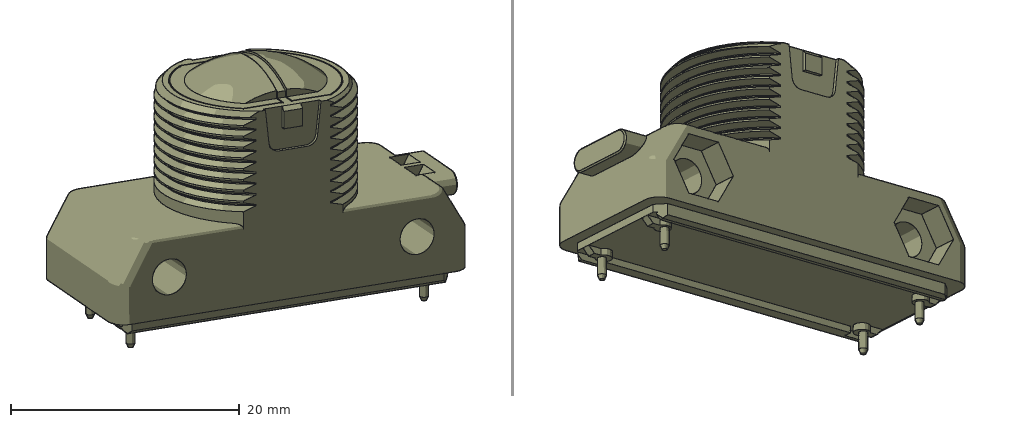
import cadquery as cq
import math

HOUSING_WIDTH = 15.0
HOUSING_LENGTH = 34.55
HOUSING_HEIGHT = 7.62
KNEE_HEIGHT = 3.85
TOP_LENGTH = 30.12
CORNER_RADIUS = 1.5
EDGE_RADIUS = 0.45
KNEE_RADIUS = 0.55

MOUNT_SPACING = 24.1
MOUNT_HEIGHT = 3.83
MOUNT_DIAMETER = 3.3
NUT_ACROSS_FLATS = 5.62
NUT_DEPTH = 2.5

BARREL_RADIUS = 8.92
BARREL_TOP = 17.85
BARREL_CHAMFER = 0.75
BARREL_ROOT = HOUSING_HEIGHT - EDGE_RADIUS
THREAD_PITCH = 1.0
THREAD_DEPTH = 0.6
THREAD_START = 8.25
CREST_WIDTH = 0.18
ROOT_WIDTH = 0.1
CUT_OVERRUN = 0.07

DOME_TOP = 19.95
DOME_BASE_RADIUS = 6.25
DOME_WIDTH = 10.3
DOME_FLAT_RADIUS = 0.88

BUTTON_RADIUS = 7.62
BUTTON_WIDTH = 12.65
BRIDGE_WIDTH = 0.77
BRIDGE_DROP = 0.15
GAP = 0.1
GAP_DEPTH = 0.7

WINDOW_TOP_WIDTH = 5.4
WINDOW_BOTTOM_WIDTH = 4.53
WINDOW_HEIGHT = 3.95
WINDOW_DEPTH = 0.35
WINDOW_RADIUS = 1.0
LATCH_WIDTH = 1.83
LATCH_HEIGHT = 2.0
LATCH_RAMP = 0.4

LUG_WIDTH = 7.55
LUG_HEIGHT = 2.25
LUG_END = 17.85
LUG_CHAMFER = 0.15
LUG_ROOT = 14.05
POCKET_WIDTH = 2.3
POCKET_SPACING = 2.95
POCKET_OUTER_END = 16.15
POCKET_INNER_END = 14.3
POCKET_DEPTH = 3.45

BASE_WIDTH = 12.85
BASE_LENGTH = 32.15
BASE_DEPTH = 1.37
PLATE_DEPTH = 0.75
BASE_CORNER = 0.9
RAIL_CHAMFER = 0.3
CHANNEL_WIDTH = 11.45
LEDGE_WIDTH = 0.8
LEDGE_LENGTH = 26.7

PIN_POSITIONS = [(-4.4, 13.97), (4.4, 14.22), (-4.2, -14.05), (4.2, -14.22)]
PIN_DIAMETER = 0.8
PIN_END = 3.37
PIN_TIP_LENGTH = 0.4
PIN_TIP_DIAMETER = 0.45

BOSS_SPACING_X = 8.55
BOSS_SPACING_Y = 28.23
BOSS_DIAMETER = 1.5
RIB_WIDTH = 0.85

JOIN = 0.35


def box(width, length, bottom, top):
    """Centred block between two heights."""
    return cq.Workplane("XY").workplane(offset=bottom).rect(width, length).extrude(top - bottom)


def both_sides(side):
    """Feature on the -X side together with its mirror image on the +X side."""
    return side.union(side.mirror("YZ"))


def make_housing():
    """Block with sloped end faces, rounded corners, and rounded top edges and knees."""
    half_length = HOUSING_LENGTH / 2
    half_top = TOP_LENGTH / 2
    outline = [
        (-half_length, 0),
        (half_length, 0),
        (half_length, KNEE_HEIGHT),
        (half_top, HOUSING_HEIGHT),
        (-half_top, HOUSING_HEIGHT),
        (-half_length, KNEE_HEIGHT),
    ]
    housing = cq.Workplane("YZ").polyline(outline).close().extrude(HOUSING_WIDTH / 2, both=True)
    knees = cq.selectors.BoxSelector(
        (-HOUSING_WIDTH, -HOUSING_LENGTH, KNEE_HEIGHT / 2),
        (HOUSING_WIDTH, HOUSING_LENGTH, (KNEE_HEIGHT + HOUSING_HEIGHT) / 2),
    )
    housing = housing.edges("|X").edges(knees).fillet(KNEE_RADIUS)
    housing = housing.faces("<X or >X").edges("not(<Z or >Z)").fillet(CORNER_RADIUS)
    return housing.edges(">Z").fillet(EDGE_RADIUS)


def cut_mounts(body):
    """Through holes along X with hexagonal nut pockets sunk from the -X side."""
    centres = [(-MOUNT_SPACING / 2, MOUNT_HEIGHT), (MOUNT_SPACING / 2, MOUNT_HEIGHT)]
    side = cq.Workplane("YZ", origin=(-HOUSING_WIDTH / 2, 0, 0)).pushPoints(centres)
    holes = side.circle(MOUNT_DIAMETER / 2).extrude(HOUSING_WIDTH)
    nuts = side.polygon(6, NUT_ACROSS_FLATS / math.cos(math.pi / 6)).extrude(NUT_DEPTH)
    return body.cut(holes).cut(nuts)


def half_turn_groove():
    """Half a turn of the V-shaped right-hand thread groove, starting on +X."""
    root_radius = BARREL_RADIUS - THREAD_DEPTH
    mouth_radius = BARREL_RADIUS + CUT_OVERRUN
    flank_slope = (THREAD_PITCH - CREST_WIDTH - ROOT_WIDTH) / 2 / THREAD_DEPTH
    half_root = ROOT_WIDTH / 2
    half_mouth = half_root + flank_slope * (THREAD_DEPTH + CUT_OVERRUN)
    profile = [
        (root_radius, -half_root),
        (mouth_radius, -half_mouth),
        (mouth_radius, half_mouth),
        (root_radius, half_root),
    ]
    path = cq.Wire.makeHelix(THREAD_PITCH, THREAD_PITCH / 2, root_radius)
    return cq.Workplane("XZ").polyline(profile).close().sweep(cq.Workplane(path), isFrenet=True)


def make_barrel():
    """Chamfered cylinder flattened to the housing width, threaded on its two round sides."""
    barrel = cq.Workplane("XY").workplane(offset=BARREL_ROOT).circle(BARREL_RADIUS)
    barrel = barrel.extrude(BARREL_TOP - BARREL_ROOT).faces(">Z").chamfer(BARREL_CHAMFER)
    barrel = barrel.intersect(box(HOUSING_WIDTH, HOUSING_LENGTH, BARREL_ROOT, BARREL_TOP))
    groove = half_turn_groove()
    half_turns = math.ceil((BARREL_TOP - THREAD_START) / (THREAD_PITCH / 2))
    for step in range(half_turns):
        turned = groove.rotate((0, 0, 0), (0, 0, 1), 180 * step)
        barrel = barrel.cut(turned.translate((0, 0, THREAD_START + step * THREAD_PITCH / 2)))
    return barrel


def dome_ball(drop):
    """Ball that forms the dome, shrunk concentrically by drop."""
    rise = DOME_TOP - BARREL_TOP
    centre_drop = (DOME_BASE_RADIUS**2 - DOME_FLAT_RADIUS**2 - rise**2) / (2 * rise)
    radius = math.hypot(DOME_BASE_RADIUS, centre_drop)
    return cq.Workplane("XY").sphere(radius - drop).translate((0, 0, BARREL_TOP - centre_drop))


def button_columns(width, radius, half_gap):
    """Pair of D-shaped columns either side of the bridge, through the button's height."""
    column = cq.Workplane("XY").workplane(offset=BARREL_TOP - GAP_DEPTH).circle(radius)
    column = column.extrude(DOME_TOP)
    column = column.intersect(box(width, 2 * radius, 0, 2 * DOME_TOP))
    return column.cut(box(2 * radius, 2 * half_gap, 0, 2 * DOME_TOP))


def make_dome():
    """Domed lens whose middle strip, the bridge, lies slightly lower than its two halves."""
    bounds = box(DOME_WIDTH, 2 * DOME_BASE_RADIUS, BARREL_TOP - JOIN, DOME_TOP)
    bridge = box(DOME_WIDTH, BRIDGE_WIDTH + 2 * GAP, BARREL_TOP - JOIN, DOME_TOP)
    halves = dome_ball(0).intersect(bounds.cut(bridge))
    return halves.union(dome_ball(BRIDGE_DROP).intersect(bridge))


def cut_button_gaps(body):
    """Narrow gaps outlining the two button halves."""
    outer = button_columns(BUTTON_WIDTH, BUTTON_RADIUS, BRIDGE_WIDTH / 2)
    inner = button_columns(BUTTON_WIDTH - 2 * GAP, BUTTON_RADIUS - GAP, BRIDGE_WIDTH / 2 + GAP)
    return body.cut(outer.cut(inner))


def cut_windows(body):
    """Tapered recess open at the top of each barrel flat, keeping a ramped latch inside."""
    bottom = BARREL_TOP - WINDOW_HEIGHT
    outline = [
        (-WINDOW_TOP_WIDTH / 2, BARREL_TOP),
        (-WINDOW_BOTTOM_WIDTH / 2, bottom),
        (WINDOW_BOTTOM_WIDTH / 2, bottom),
        (WINDOW_TOP_WIDTH / 2, BARREL_TOP),
    ]
    face = -HOUSING_WIDTH / 2
    window = cq.Workplane("YZ", origin=(face, 0, 0)).polyline(outline).close().extrude(WINDOW_DEPTH)
    window = window.edges("|X").edges("<Z").fillet(WINDOW_RADIUS)
    floor = face + WINDOW_DEPTH
    latch = [
        (floor, BARREL_TOP),
        (face, BARREL_TOP - LATCH_RAMP),
        (face, BARREL_TOP - LATCH_HEIGHT),
        (floor, BARREL_TOP - LATCH_HEIGHT),
    ]
    latch = cq.Workplane("XZ").polyline(latch).close().extrude(LATCH_WIDTH / 2, both=True)
    return body.cut(both_sides(window.cut(latch)))


def make_lug():
    """Round-sided terminal lug level with the housing top, chamfered around its outer end."""
    centre = (0, LUG_END, HOUSING_HEIGHT - LUG_HEIGHT / 2)
    lug = cq.Workplane("XZ", origin=centre).slot2D(LUG_WIDTH, LUG_HEIGHT).extrude(LUG_END - LUG_ROOT)
    return lug.faces(">Y").chamfer(LUG_CHAMFER)


def cut_pockets(body):
    """Two wedge pockets in the lug, deepening from the outer end towards the barrel."""
    outline = [
        (POCKET_OUTER_END, HOUSING_HEIGHT),
        (POCKET_INNER_END, HOUSING_HEIGHT),
        (POCKET_INNER_END, HOUSING_HEIGHT - POCKET_DEPTH),
    ]
    wedge = cq.Workplane("YZ").polyline(outline).close().extrude(POCKET_WIDTH / 2, both=True)
    return body.cut(both_sides(wedge.translate((-POCKET_SPACING / 2, 0, 0))))


def chamfered_bar(plane, span, chamfer):
    """Long bar of the base's depth whose two lower edges are chamfered at 45 degrees."""
    outline = [
        (-span / 2, JOIN),
        (-span / 2, chamfer - BASE_DEPTH),
        (chamfer - span / 2, -BASE_DEPTH),
        (span / 2 - chamfer, -BASE_DEPTH),
        (span / 2, chamfer - BASE_DEPTH),
        (span / 2, JOIN),
    ]
    return cq.Workplane(plane).polyline(outline).close().extrude(BASE_LENGTH, both=True)


def make_base():
    """Base plate with a rail along each side, a ledge inside the +X rail, and pin bosses."""
    block = box(BASE_WIDTH, BASE_LENGTH, -BASE_DEPTH, JOIN).edges("|Z").chamfer(BASE_CORNER)
    block = block.intersect(chamfered_bar("XZ", BASE_WIDTH, RAIL_CHAMFER))
    block = block.intersect(chamfered_bar("YZ", BASE_LENGTH, BASE_DEPTH - PLATE_DEPTH))
    channel = box(CHANNEL_WIDTH, BASE_LENGTH, -BASE_DEPTH, -PLATE_DEPTH)
    ledge = box(LEDGE_WIDTH, LEDGE_LENGTH, -BASE_DEPTH, -PLATE_DEPTH)
    channel = channel.cut(ledge.translate(((CHANNEL_WIDTH - LEDGE_WIDTH) / 2, 0, 0)))
    under_plate = cq.Workplane("XY").workplane(offset=-BASE_DEPTH)
    bosses = under_plate.rarray(BOSS_SPACING_X, BOSS_SPACING_Y, 2, 2).circle(BOSS_DIAMETER / 2)
    channel = channel.cut(bosses.extrude(BASE_DEPTH))
    rib_length = (BASE_LENGTH - BOSS_SPACING_Y) / 2
    rib_spacing = BASE_LENGTH - rib_length
    ribs = under_plate.rarray(BOSS_SPACING_X, rib_spacing, 2, 2).rect(RIB_WIDTH, rib_length)
    return block.cut(channel.cut(ribs.extrude(BASE_DEPTH)))


def make_pin():
    """Contact pin with a tapered tip, on the Z axis."""
    pin = cq.Workplane("XY").workplane(offset=-PIN_END).circle(PIN_DIAMETER / 2)
    pin = pin.extrude(PIN_END - PLATE_DEPTH + JOIN)
    tip_inset = (PIN_DIAMETER - PIN_TIP_DIAMETER) / 2
    return pin.faces("<Z").chamfer(PIN_TIP_LENGTH, tip_inset)


body = cut_mounts(make_housing())
body = body.union(make_barrel()).union(make_dome())
body = cut_windows(cut_button_gaps(body))
body = cut_pockets(body.union(make_lug()))
body = body.union(make_base())
pin = make_pin()
for x, y in PIN_POSITIONS:
    body = body.union(pin.translate((x, y, 0)))

result = body